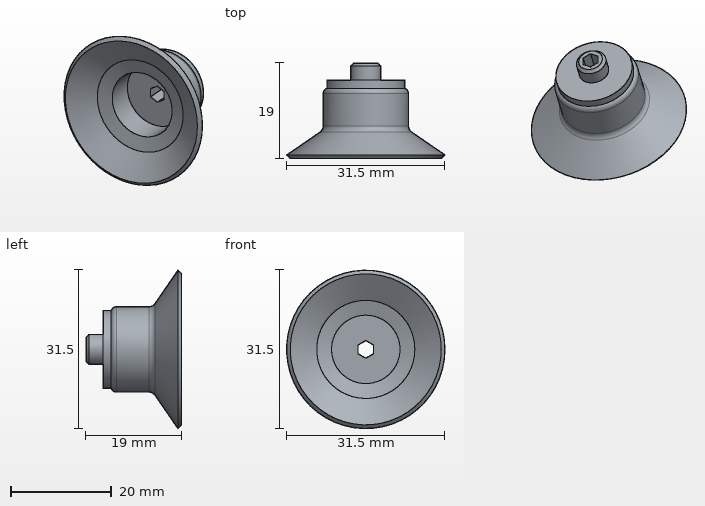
import cadquery as cq
import math

rim_diameter = 31.5
body_diameter = 17.0
flange_diameter = 15.5
pin_diameter = 6.0

lip_height = 0.75
body_round_start = 12.95
flange_end = 15.6
total_length = 19.0

cup_depth = 3.6
cup_floor_diameter = 19.5
bore_start = 4.4
bore_diameter = 13.6
bore_floor = 10.6

skirt_fillet = 1.5
body_round = 1.1
pin_chamfer = 0.6

hex_across_flats = 3.0

rim_radius = rim_diameter / 2
body_radius = body_diameter / 2
flange_radius = flange_diameter / 2
pin_radius = pin_diameter / 2
cup_floor_radius = cup_floor_diameter / 2
bore_radius = bore_diameter / 2
lip_radius = rim_radius - lip_height

skirt_angle = math.atan2(lip_radius - cup_floor_radius, cup_depth)
skirt_corner = lip_height + (rim_radius - body_radius) / math.tan(skirt_angle)
fillet_setback = skirt_fillet * math.tan(skirt_angle / 2)
skirt_end = skirt_corner - fillet_setback * math.cos(skirt_angle)
skirt_end_radius = body_radius + fillet_setback * math.sin(skirt_angle)
body_start = skirt_corner + fillet_setback

round_center_radius = body_radius - body_round
flange_start = body_round_start + math.sqrt(
    body_round**2 - (flange_radius - round_center_radius) ** 2
)


def make_revolved_body():
    """Revolve the half section, given as (radius, Y) points, around the Y axis."""
    half_section = (
        cq.Workplane("XY")
        .moveTo(0, bore_floor)
        .lineTo(bore_radius, bore_floor)
        .lineTo(bore_radius, bore_start)
        .lineTo(cup_floor_radius, cup_depth)
        .lineTo(lip_radius, 0)
        .lineTo(rim_radius, lip_height)
        .lineTo(skirt_end_radius, skirt_end)
        .tangentArcPoint((body_radius, body_start), relative=False)
        .lineTo(body_radius, body_round_start)
        .tangentArcPoint((flange_radius, flange_start), relative=False)
        .lineTo(flange_radius, flange_end)
        .lineTo(pin_radius, flange_end)
        .lineTo(pin_radius, total_length - pin_chamfer)
        .lineTo(pin_radius - pin_chamfer, total_length)
        .lineTo(0, total_length)
        .close()
    )
    return half_section.revolve(360, (0, 0, 0), (0, 1, 0))


def make_hex_hole():
    """Hexagonal prism along Y with two corners in line with the Z axis."""
    hex_across_corners = hex_across_flats / math.cos(math.radians(30))
    return (
        cq.Workplane("XZ")
        .transformed(rotate=(0, 0, 90))
        .polygon(6, hex_across_corners)
        .extrude(-total_length)
    )


result = make_revolved_body().cut(make_hex_hole())